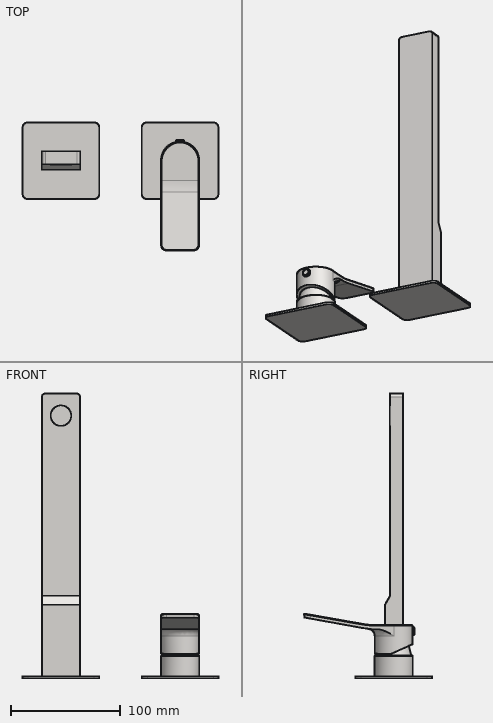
import cadquery as cq
import math

plate_side = 70.2
plate_thickness = 2.0
plate_corner_radius = 5.0
mixer_x = 108.7

spout_height = 260.0
spout_width = 34.8
spout_back_y = 8.5
spout_lower_depth = 16.6
spout_upper_depth = 12.0
step_bottom_z = 67.0
step_top_z = 75.5
spout_top_radius = 3.0

outlet_z = 239.7
outlet_diameter = 18.7
outlet_height = 0.3

base_diameter = 35.0
base_top_z = 21.0
base_edge_chamfer = 0.8
neck_bottom_radius = 16.0
neck_top_radius = 13.8
neck_top_z = 31.2

overall_depth = 117.0
lever_radius = 17.5
lever_bottom_z = 22.5
lever_top_z = 49.0
lever_top_chamfer = 0.8
blade_thickness = 4.0
blade_tip_radius = 5.0
bend_start_y = -17.7
bend_end_y = -28.3
flare_radius = 6.0
hub_cut_back_z = 31.2
hub_cut_angle = 24.0

tilt = math.radians(10.0)
blade_bottom_z = lever_top_z - blade_thickness
bend_radius = (bend_start_y - bend_end_y) / math.sin(tilt)
bend_center_z = lever_top_z + bend_radius

tip_y = plate_side / 2 - overall_depth - lever_top_chamfer * math.sin(tilt)
tip_z = bend_center_z - bend_radius * math.cos(tilt) + (bend_end_y - tip_y) * math.tan(tilt)

cap_z = 43.2
cap_diameter = 7.5
cap_height = 1.8
cap_chamfer = 1.0


def make_plate(x):
    plate = cq.Workplane("XY").center(x, 0).rect(plate_side, plate_side).extrude(plate_thickness)
    return plate.edges("|Z").fillet(plate_corner_radius)


def make_spout():
    """Plate and a column whose front face steps back along a slope."""
    lower_front_y = spout_back_y - spout_lower_depth
    upper_front_y = spout_back_y - spout_upper_depth
    column = (
        cq.Workplane("YZ")
        .moveTo(spout_back_y, 0)
        .lineTo(lower_front_y, 0)
        .lineTo(lower_front_y, step_bottom_z)
        .lineTo(upper_front_y, step_top_z)
        .lineTo(upper_front_y, spout_height)
        .lineTo(spout_back_y, spout_height)
        .close()
        .extrude(spout_width / 2, both=True)
    )
    column = column.faces(">Z").edges("|Y").fillet(spout_top_radius)
    outlet = (
        cq.Workplane("XZ", origin=(0, upper_front_y, outlet_z))
        .circle(outlet_diameter / 2)
        .extrude(outlet_height)
    )
    return make_plate(0).union(column).union(outlet)


def make_neck():
    """Tapered neck that stands on the base and fills the recess in the lever."""
    return (
        cq.Workplane("XZ", origin=(mixer_x, 0, 0))
        .moveTo(0, base_top_z)
        .lineTo(neck_bottom_radius, base_top_z)
        .lineTo(neck_top_radius, neck_top_z)
        .lineTo(0, neck_top_z)
        .close()
        .revolve(360, (0, 0, 0), (0, 1, 0))
    )


def make_mixer_base():
    drum = cq.Workplane("XY").center(mixer_x, 0).circle(base_diameter / 2).extrude(base_top_z)
    drum = drum.faces(">Z").edges().chamfer(base_edge_chamfer)
    return make_plate(mixer_x).union(drum).union(make_neck())


def make_lever_outline():
    """Tall prism with the lever's plan shape: round at the back, straight sides past the tip."""
    return (
        cq.Workplane("XY", origin=(mixer_x, 0, 0))
        .moveTo(lever_radius, 0)
        .threePointArc((0, lever_radius), (-lever_radius, 0))
        .lineTo(-lever_radius, 2 * tip_y)
        .lineTo(lever_radius, 2 * tip_y)
        .close()
        .extrude(2 * lever_top_z)
    )


def make_blade_strip():
    """Flat top of the lever, bent upwards through an arc into the straight blade."""

    def bend_point(angle, depth):
        radius = bend_radius + depth
        return bend_start_y - radius * math.sin(angle), bend_center_z - radius * math.cos(angle)

    return (
        cq.Workplane("YZ", origin=(mixer_x, 0, 0))
        .moveTo(lever_radius, lever_top_z)
        .lineTo(*bend_point(0, 0))
        .threePointArc(bend_point(tilt / 2, 0), bend_point(tilt, 0))
        .lineTo(tip_y, tip_z)
        .lineTo(tip_y + blade_thickness * math.sin(tilt), tip_z - blade_thickness * math.cos(tilt))
        .lineTo(*bend_point(tilt, blade_thickness))
        .threePointArc(bend_point(tilt / 2, blade_thickness), bend_point(0, blade_thickness))
        .lineTo(lever_radius, blade_bottom_z)
        .close()
        .extrude(lever_radius, both=True)
    )


def make_flared_hub():
    """Cylinder under the blade that flares out at the top in a concave quarter circle."""
    flare_start_z = blade_bottom_z - flare_radius
    flare_end_radius = lever_radius + flare_radius
    arc_offset = flare_radius * math.sqrt(0.5)
    return (
        cq.Workplane("XZ", origin=(mixer_x, 0, 0))
        .moveTo(0, lever_bottom_z)
        .lineTo(lever_radius, lever_bottom_z)
        .lineTo(lever_radius, flare_start_z)
        .threePointArc(
            (flare_end_radius - arc_offset, flare_start_z + arc_offset),
            (flare_end_radius, blade_bottom_z),
        )
        .lineTo(0, blade_bottom_z)
        .close()
        .revolve(360, (0, 0, 0), (0, 1, 0))
    )


def make_hub_relief():
    """Wedge that cuts the hub's underside obliquely at the back."""
    cut_length = (hub_cut_back_z - lever_bottom_z) / math.tan(math.radians(hub_cut_angle))
    return (
        cq.Workplane("YZ", origin=(mixer_x, 0, 0))
        .moveTo(lever_radius - cut_length, lever_bottom_z)
        .lineTo(lever_radius, lever_bottom_z)
        .lineTo(lever_radius, hub_cut_back_z)
        .close()
        .extrude(lever_radius, both=True)
    )


def make_screw_cap():
    cap = (
        cq.Workplane("XZ", origin=(mixer_x, 0, cap_z))
        .circle(cap_diameter / 2)
        .extrude(-lever_radius - cap_height)
    )
    return cap.faces(">Y").edges().chamfer(cap_chamfer)


def make_lever():
    outline = make_lever_outline()
    blade = make_blade_strip().intersect(outline)
    blade = blade.faces("<Y").edges("not |X").fillet(blade_tip_radius)
    tip_edge = cq.selectors.NearestToPointSelector((mixer_x, tip_y, tip_z))
    blade = blade.edges(tip_edge).chamfer(lever_top_chamfer)
    hub = make_flared_hub().intersect(outline).cut(make_hub_relief())
    return blade.union(hub).union(make_screw_cap()).cut(make_neck())


spout = make_spout()
mixer_base = make_mixer_base()
lever = make_lever()

result = cq.Compound.makeCompound([spout.val(), mixer_base.val(), lever.val()])